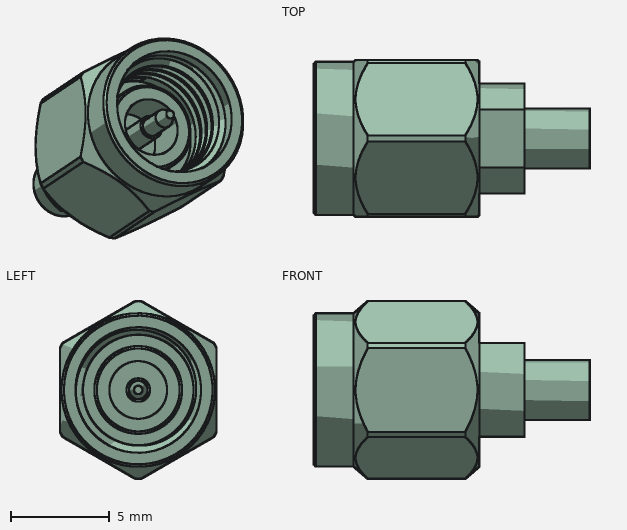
import cadquery as cq
import math

length = 13.97

hex_across_flats = 7.93
hex_corner_diameter = 9.0
collar_diameter = 7.77
collar_length = 2.03
collar_chamfer = 0.13
nut_length = 8.38
hex_chamfer_length = 0.71

body_diameter = 5.59
body_flats = 4.75
body_end = 10.67
tail_diameter = 3.05

entry_diameter = 6.35
entry_depth = 0.75
cavity_depth = 4.19
thread_root_diameter = 6.33
thread_minor_diameter = 5.59
thread_start = 0.31
thread_length = 3.52
thread_turns = 5
thread_pitch = thread_length / thread_turns
thread_flank_angle = 30.0
thread_crest_width = thread_pitch / 4
groove_overlap = 0.05

sleeve_diameter = 4.44
sleeve_front = 2.84
sleeve_chamfer_length = 0.1
sleeve_chamfer_height = 0.13
sleeve_bore_diameter = 2.92
sleeve_bore_end = 5.59

shank_diameter = 1.19
pin_diameter = 0.94
pin_tip_diameter = 0.43
pin_tip = 0.52
pin_taper_length = 0.75


def cylinder(diameter, start, end):
    """Cylinder on the X axis between two X positions."""
    return cq.Workplane("YZ").workplane(offset=start).circle(diameter / 2).extrude(end - start)


def revolved(profile):
    """Solid of revolution about X from (x, radius) points."""
    return cq.Workplane("XY").polyline(profile).close().revolve(360, (0, 0, 0), (1, 0, 0))


def make_nut():
    collar_radius = collar_diameter / 2
    corner_radius = hex_corner_diameter / 2
    hexagon = (
        cq.Workplane("YZ")
        .workplane(offset=collar_length)
        .polygon(6, hex_across_flats, circumscribed=True)
        .extrude(nut_length - collar_length)
    )
    turned_envelope = revolved([
        (collar_length, 0),
        (collar_length, collar_radius),
        (collar_length + hex_chamfer_length, corner_radius),
        (nut_length - hex_chamfer_length, corner_radius),
        (nut_length, collar_radius),
        (nut_length, 0),
    ])
    collar = cylinder(collar_diameter, 0, collar_length).faces("<X").chamfer(collar_chamfer)
    return collar.union(hexagon.intersect(turned_envelope))


def make_rear():
    body = cylinder(body_diameter, nut_length, body_end)
    flats = cq.Workplane("XY").box(2 * length, body_diameter, body_flats)
    return body.intersect(flats).union(cylinder(tail_diameter, body_end, length))


def make_cavity():
    """Plain entry bore, 45 degree lead-in and the bore at the thread crests."""
    entry_radius = entry_diameter / 2
    minor_radius = thread_minor_diameter / 2
    lead_in_length = entry_radius - minor_radius
    return revolved([
        (0, 0),
        (0, entry_radius),
        (entry_depth, entry_radius),
        (entry_depth + lead_in_length, minor_radius),
        (cavity_depth, minor_radius),
        (cavity_depth, 0),
    ])


def make_thread_groove():
    """Right-hand helical groove with a flat root, starting at the top of the entry bore."""
    root_radius = thread_root_diameter / 2
    minor_radius = thread_minor_diameter / 2
    inner_radius = minor_radius - groove_overlap
    flank_slope = math.tan(math.radians(thread_flank_angle))
    mouth_half_width = (thread_pitch - thread_crest_width) / 2
    root_half_width = mouth_half_width - (root_radius - minor_radius) * flank_slope
    inner_half_width = mouth_half_width + groove_overlap * flank_slope
    helix = cq.Wire.makeHelix(thread_pitch, thread_length, root_radius)
    groove = (
        cq.Workplane("XZ")
        .polyline([
            (inner_radius, -inner_half_width),
            (root_radius, -root_half_width),
            (root_radius, root_half_width),
            (inner_radius, inner_half_width),
        ])
        .close()
        .sweep(cq.Workplane(obj=helix), isFrenet=True)
    )
    groove = groove.rotate((0, 0, 0), (0, 1, 0), 90).rotate((0, 0, 0), (1, 0, 0), 180)
    return groove.translate((thread_start, 0, 0))


def make_sleeve():
    sleeve = cylinder(sleeve_diameter, sleeve_front, cavity_depth)
    return sleeve.faces("<X").chamfer(sleeve_chamfer_length, sleeve_chamfer_height)


def make_sleeve_bore():
    return cylinder(sleeve_bore_diameter, sleeve_front, sleeve_bore_end)


def make_contact():
    """Tapered pin standing on a thicker shank that fills the middle of the sleeve bore."""
    pin = revolved([
        (pin_tip, 0),
        (pin_tip, pin_tip_diameter / 2),
        (pin_tip + pin_taper_length, pin_diameter / 2),
        (sleeve_front, pin_diameter / 2),
        (sleeve_front, 0),
    ])
    shank = cylinder(shank_diameter, sleeve_front, sleeve_bore_end)
    return pin.union(shank)


nut = make_nut().union(make_rear())
nut = nut.cut(make_cavity()).cut(make_thread_groove())
result = nut.union(make_sleeve()).cut(make_sleeve_bore()).union(make_contact())